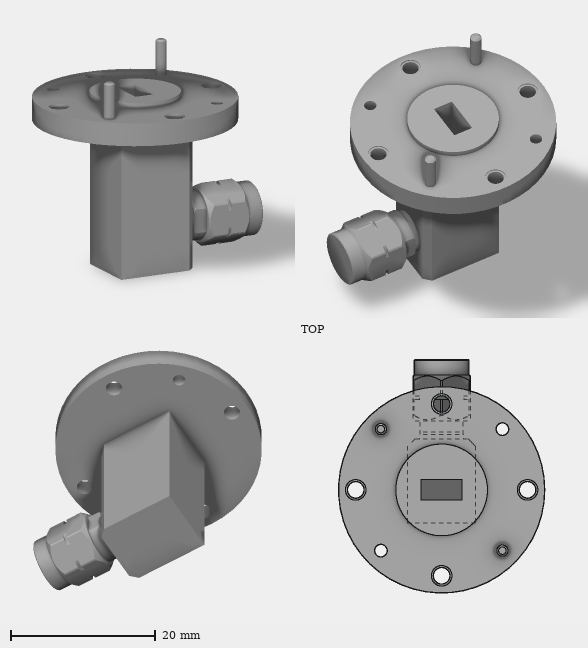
import cadquery as cq
import math

flange_diameter = 28.57
flange_thickness = 3.25
boss_diameter = 12.7
boss_height = 0.78

bolt_circle_radius = 11.9
screw_hole_diameter = 2.25
screw_counterbore_diameter = 2.85
screw_counterbore_depth = 0.15
pin_hole_diameter = 1.7
pin_diameter = 1.55
pin_tip_diameter = 1.05
pin_tip_height = 0.2
pin_height = 5.07

overall_height = 29.75
body_width = 9.45
body_front_y = -4.6
body_back_y = 7.0
body_edge_chamfer = 1.0
body_bottom_z = pin_height - overall_height

waveguide_width = 5.7
waveguide_height = 2.85

connector_axis_height = 6.37
overall_length = 32.32
connector_axis_z = body_bottom_z + connector_axis_height
connector_end_y = overall_length - flange_diameter / 2
neck_diameter = 6.08
collar_start_y = 7.65
collar_diameter = 6.85
collar_flats = 5.95
collar_chamfer_radial = 0.2
collar_chamfer_length = 0.32
nut_start_y = 9.55
nut_end_y = 15.93
nut_flats = 7.92
nut_corner_diameter = 9.0
nut_cone_length = 0.78
nut_groove_width = 0.5
nut_groove_diameter = 8.3
sleeve_diameter = 7.63
sleeve_chamfer = 0.13


def disc(diameter, bottom_z, top_z):
    """Cylinder on the Z axis."""
    return cq.Workplane("XY", origin=(0, 0, bottom_z)).circle(diameter / 2).extrude(top_z - bottom_z)


def at_bolt_circle(shape, angles):
    """Copies of a shape on the Z axis, placed on the bolt circle at the given angles."""
    copies = cq.Workplane("XY")
    for angle in angles:
        x = bolt_circle_radius * math.cos(math.radians(angle))
        y = bolt_circle_radius * math.sin(math.radians(angle))
        copies = copies.add(shape.translate((x, y, 0)))
    return copies.combine()


def along_connector(start_y):
    """Plane across the connector axis, with its normal along +Y."""
    return cq.Workplane("XZ", origin=(0, start_y, connector_axis_z)).transformed(rotate=(180, 0, 0))


def connector_cylinder(diameter, start_y, end_y):
    return along_connector(start_y).circle(diameter / 2).extrude(end_y - start_y)


def make_flange():
    """Round flange with a raised boss, four counterbored screw holes and two pin holes."""
    flange = disc(flange_diameter, -flange_thickness, 0)
    flange = flange.union(disc(boss_diameter, 0, boss_height))

    screw_hole = disc(screw_hole_diameter, -flange_thickness, 0)
    screw_hole = screw_hole.union(disc(screw_counterbore_diameter, -screw_counterbore_depth, 0))
    pin_hole = disc(pin_hole_diameter, -flange_thickness, 0)
    flange = flange.cut(at_bolt_circle(screw_hole, (0, 90, 180, 270)))
    return flange.cut(at_bolt_circle(pin_hole, (45, 225)))


def make_pins():
    """Dowel pins with conical tips, rooted in the flange."""
    tip_inset = (pin_diameter - pin_tip_diameter) / 2
    pin = disc(pin_diameter, -flange_thickness, pin_height)
    pin = pin.faces(">Z").edges().chamfer(pin_tip_height, tip_inset)
    return at_bolt_circle(pin, (135, 315))


def make_body():
    """Rectangular block with the two vertical edges on its connector side chamfered."""
    body_depth = body_back_y - body_front_y
    body_center_y = (body_front_y + body_back_y) / 2
    body = cq.Workplane("XY", origin=(0, body_center_y, body_bottom_z)).rect(body_width, body_depth)
    body = body.extrude(-flange_thickness - body_bottom_z)
    return body.edges("|Z and >Y").chamfer(body_edge_chamfer)


def make_waveguide():
    """Channel from the boss face down to the connector axis."""
    return (
        cq.Workplane("XY", origin=(0, 0, connector_axis_z))
        .rect(waveguide_width, waveguide_height)
        .extrude(boss_height - connector_axis_z)
    )


def make_collar():
    """Round collar with a wrench flat on each X side."""
    collar = connector_cylinder(collar_diameter, collar_start_y, nut_start_y)
    collar = collar.faces("<Y").edges().chamfer(collar_chamfer_length, collar_chamfer_radial)
    flats = along_connector(collar_start_y).rect(collar_flats, collar_diameter)
    return collar.intersect(flats.extrude(nut_start_y - collar_start_y))


def make_nut():
    """Hexagonal nut with corners up and down, conical ends and a groove round its corners."""
    nut_length = nut_end_y - nut_start_y
    hexagon_diameter = nut_flats / math.cos(math.radians(30))
    corner_up_plane = along_connector(nut_start_y).transformed(rotate=(0, 0, 30))
    hexagon = corner_up_plane.polygon(6, hexagon_diameter).extrude(nut_length)

    cone_inset = (nut_corner_diameter - sleeve_diameter) / 2
    envelope = connector_cylinder(nut_corner_diameter, nut_start_y, nut_end_y)
    envelope = envelope.faces("<Y or >Y").edges().chamfer(nut_cone_length, cone_inset)

    groove_start_y = (nut_start_y + nut_end_y - nut_groove_width) / 2
    groove = (
        along_connector(groove_start_y)
        .circle(hexagon_diameter / 2)
        .circle(nut_groove_diameter / 2)
        .extrude(nut_groove_width)
    )
    return hexagon.intersect(envelope).cut(groove)


def make_connector():
    neck = connector_cylinder(neck_diameter, body_back_y, collar_start_y)
    sleeve = connector_cylinder(sleeve_diameter, nut_end_y, connector_end_y)
    sleeve = sleeve.faces(">Y").edges().chamfer(sleeve_chamfer)
    return neck.union(make_collar()).union(make_nut()).union(sleeve)


result = make_flange().union(make_pins()).union(make_body()).union(make_connector()).cut(make_waveguide())